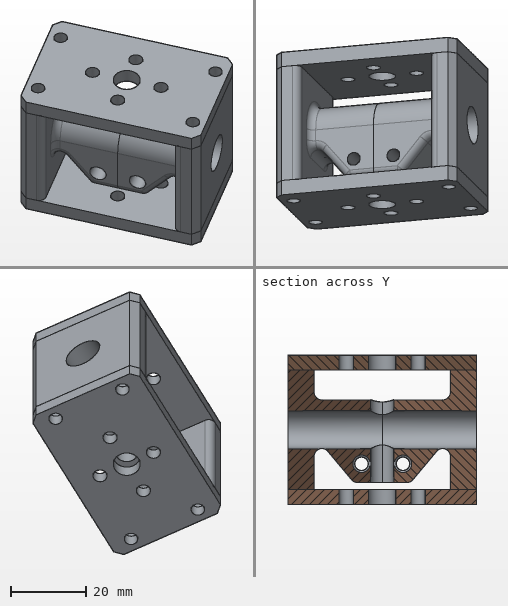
import cadquery as cq
import math

length = 50.0
width = 32.0
height = 39.6
corner_chamfer = 2.0

plate_thickness = 4.0
center_hole_diameter = 7.1
small_hole_diameter = 3.7
small_hole_x = 9.5
small_hole_y = 8.0
screw_diameter = 3.55

wall_thickness = 7.0
round_radius = 2.0
half_length = length / 2
inner_height = height - 2 * plate_thickness
wall_inner_x = wall_thickness - half_length
screw_x = half_length - wall_thickness / 2
screw_y = 10.0

boss_radius = 8.0
bore_diameter = 10.0
vertical_hole_diameter = 6.0

neck_end_x = wall_inner_x + round_radius
neck_bottom_z = -5.0
lug_bottom_z = -14.0
lug_slope = math.radians(50.0)

cross_hole_x = 5.5
cross_hole_z = -9.0
cross_hole_diameter = 3.5
wide_hole_diameter = 4.5
wide_hole_depth = boss_radius
drill_tip_angle = math.radians(118.0)


def make_plate(center_z):
    """Chamfered cover plate with its pattern of through holes."""
    small_holes = [(-small_hole_x, 0), (small_hole_x, 0), (0, -small_hole_y), (0, small_hole_y)]
    screw_places = [(x, y) for x in (-screw_x, screw_x) for y in (-screw_y, screw_y)]
    return (
        cq.Workplane("XY")
        .box(length, width, plate_thickness)
        .edges("|Z")
        .chamfer(corner_chamfer)
        .faces(">Z")
        .workplane()
        .hole(center_hole_diameter)
        .pushPoints(small_holes)
        .hole(small_hole_diameter)
        .pushPoints(screw_places)
        .hole(screw_diameter)
        .translate((0, 0, center_z))
    )


def make_wall():
    """Left end wall: outer vertical edges chamfered, inner ones rounded."""
    return (
        cq.Workplane("XY")
        .box(wall_thickness, width, inner_height)
        .translate((wall_inner_x - wall_thickness / 2, 0, 0))
        .edges("|Z and <X")
        .chamfer(corner_chamfer)
        .edges("|Z and >X")
        .fillet(round_radius)
    )


def make_arch(start_x, end_x):
    """Straight boss section: round above the bore axis, flat-sided below it."""
    return (
        cq.Workplane("YZ", origin=(start_x, 0, 0))
        .moveTo(-boss_radius, 0)
        .threePointArc((0, boss_radius), (boss_radius, 0))
        .lineTo(boss_radius, neck_bottom_z)
        .lineTo(-boss_radius, neck_bottom_z)
        .close()
        .extrude(end_x - start_x)
        .edges("|X and <Z")
        .fillet(round_radius)
    )


def make_wall_with_neck():
    """End wall blended into the short neck that carries the boss."""
    margin = 0.05
    blended = (
        make_wall()
        .union(make_arch(wall_inner_x, 0))
        .edges(cq.selectors.BoxSelector(
            (wall_inner_x - margin, -boss_radius - margin, neck_bottom_z - margin),
            (wall_inner_x + margin, boss_radius + margin, boss_radius + margin),
        ))
        .fillet(round_radius)
    )
    excess = cq.Workplane("XY").box(-neck_end_x, width, height, centered=(False, True, True))
    return blended.cut(excess.translate((neck_end_x, 0, 0)))


def make_lug():
    """Left half of the boss with its sloping lug, from the neck to the middle plane."""
    slope_x = neck_end_x + round_radius * math.sin(lug_slope)
    slope_z = neck_bottom_z - round_radius * (1 - math.cos(lug_slope))
    arc_mid_x = neck_end_x + round_radius * math.sin(lug_slope / 2)
    arc_mid_z = neck_bottom_z - round_radius * (1 - math.cos(lug_slope / 2))
    corner_x = slope_x + (slope_z - lug_bottom_z) / math.tan(lug_slope)
    flat_part = (
        cq.Workplane("XZ", origin=(0, boss_radius, 0))
        .moveTo(neck_end_x, 0)
        .lineTo(neck_end_x, neck_bottom_z)
        .threePointArc((arc_mid_x, arc_mid_z), (slope_x, slope_z))
        .lineTo(corner_x, lug_bottom_z)
        .lineTo(0, lug_bottom_z)
        .lineTo(0, 0)
        .close()
        .extrude(2 * boss_radius)
    )
    underside = flat_part.faces("not (<X or >X or >Z or <Y or >Y)")
    side_edges = underside.edges("<Y or >Y")
    corner_edge = flat_part.faces("<Z").edges("<X")
    lug = flat_part.newObject(side_edges.vals() + corner_edge.vals()).fillet(round_radius)
    round_top = cq.Workplane("YZ", origin=(neck_end_x, 0, 0)).circle(boss_radius).extrude(-neck_end_x)
    upper_half = cq.Workplane("XY").box(length, width, height, centered=(True, True, False))
    return lug.union(round_top.intersect(upper_half))


def cylinder(plane, origin, diameter, depth):
    """Cylinder of the given depth along the normal of its plane."""
    return cq.Workplane(plane, origin=origin).circle(diameter / 2).extrude(depth)


def make_cross_hole():
    """Cutter for the stepped cross hole, entering the lug from -Y."""
    narrow_radius = cross_hole_diameter / 2
    wide_radius = wide_hole_diameter / 2
    cone_end = wide_hole_depth + (wide_radius - narrow_radius) / math.tan(drill_tip_angle / 2)
    through_depth = 2 * boss_radius
    return (
        cq.Workplane("XY")
        .polyline([
            (0, 0),
            (wide_radius, 0),
            (wide_radius, wide_hole_depth),
            (narrow_radius, cone_end),
            (narrow_radius, through_depth),
            (0, through_depth),
        ])
        .close()
        .revolve(360, (0, 0), (0, 1))
        .translate((-cross_hole_x, -boss_radius, cross_hole_z))
    )


def make_bearing_half(side):
    """One half of the bearing block: side -1 is at -X, side +1 its mirror image."""
    bore = cylinder("YZ", (-half_length, 0, 0), bore_diameter, half_length)
    vertical_hole = cylinder("XY", (0, 0, -height / 2), vertical_hole_diameter, height)
    half = make_wall_with_neck().union(make_lug())
    half = half.cut(bore).cut(vertical_hole).cut(make_cross_hole())
    for y in (-screw_y, screw_y):
        half = half.cut(cylinder("XY", (-screw_x, y, -height / 2), screw_diameter, height))
    return half if side < 0 else half.mirror("YZ")


plate_offset = (height - plate_thickness) / 2
plates = [make_plate(z) for z in (-plate_offset, plate_offset)]
bearing_halves = [make_bearing_half(side) for side in (-1, 1)]

result = cq.Compound.makeCompound([body.val() for body in plates + bearing_halves])